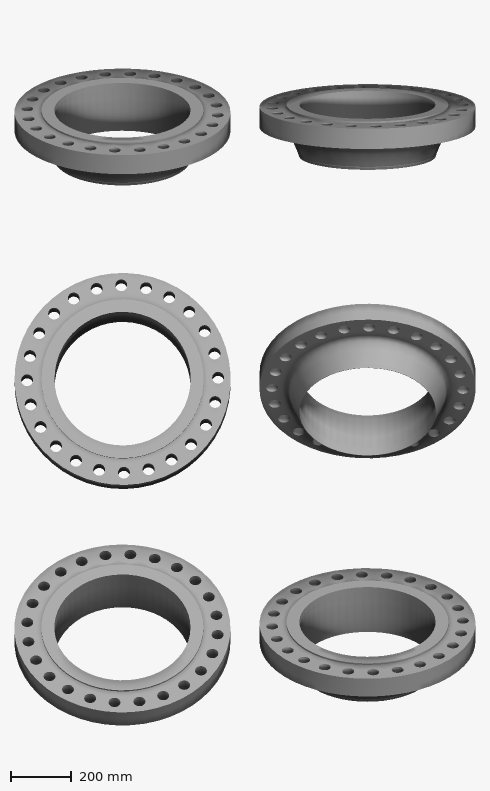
import cadquery as cq
import math

total_height = 171.5
bore_radius = 224.0

flange_radius = 355.5
flange_thickness = 68.0
raised_face_radius = 267.0
raised_face_height = 6.0
flange_top = total_height - raised_face_height
flange_bottom = flange_top - flange_thickness

hub_base_radius = 265.0
hub_fillet_radius = 14.0

neck_radius = 228.0
bevel_height = 8.5
neck_length = 2.0
neck_height = bevel_height + neck_length
weld_end_radius = 225.5

hub_tilt = math.atan2(hub_base_radius - neck_radius, flange_bottom - neck_height)
fillet_setback = hub_fillet_radius * math.tan((math.pi / 2 - hub_tilt) / 2)
fillet_outer_radius = hub_base_radius + fillet_setback
fillet_start = (
    hub_base_radius - fillet_setback * math.sin(hub_tilt),
    flange_bottom - fillet_setback * math.cos(hub_tilt),
)

bolt_count = 24
bolt_circle_radius = 314.0
bolt_hole_diameter = 39.0


def flange_body():
    """Revolve the half section, from the weld end up to the raised face."""
    section = (
        cq.Workplane("XZ")
        .moveTo(bore_radius, 0)
        .lineTo(weld_end_radius, 0)
        .lineTo(neck_radius, bevel_height)
        .lineTo(neck_radius, neck_height)
        .lineTo(*fillet_start)
        .tangentArcPoint((fillet_outer_radius, flange_bottom), relative=False)
        .lineTo(flange_radius, flange_bottom)
        .lineTo(flange_radius, flange_top)
        .lineTo(raised_face_radius, flange_top)
        .lineTo(raised_face_radius, total_height)
        .lineTo(bore_radius, total_height)
        .close()
    )
    return section.revolve(360, (0, 0, 0), (0, 1, 0))


def bolt_holes():
    """Cylinders through the flange disc, equally spaced on the bolt circle."""
    return (
        cq.Workplane("XY", origin=(0, 0, flange_bottom))
        .polarArray(bolt_circle_radius, 0, 360, bolt_count)
        .circle(bolt_hole_diameter / 2)
        .extrude(flange_thickness)
    )


result = flange_body().cut(bolt_holes())